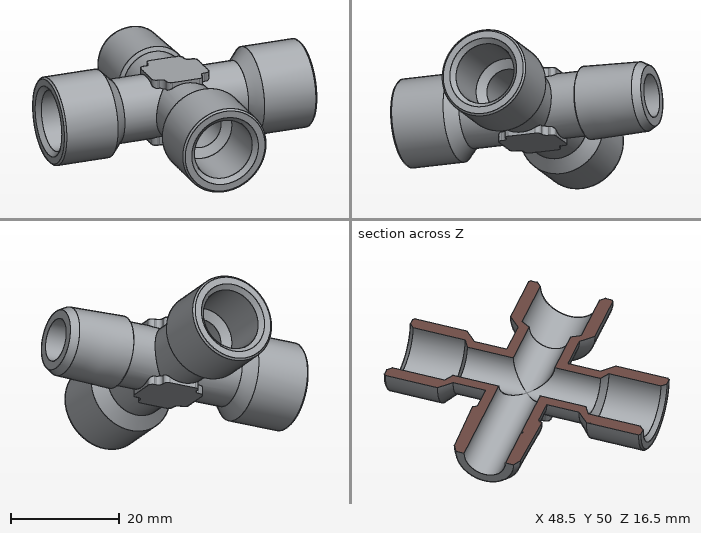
import cadquery as cq
import math


neck_diameter = 12.0
bore_diameter = 8.0

socket_reach = 25.0
socket_diameter = 16.5
socket_length = 10.5
socket_rim_chamfer = 0.35
thread_minor_diameter = 11.45
thread_depth = 11.0
thread_mouth_diameter = 13.2
drill_point_angle = 118.0

male_reach = 23.5
male_thread_length = 12.65
male_root_diameter = 13.6
male_taper = 1 / 16
male_tip_chamfer_length = 1.5
male_tip_diameter = 11.25
male_shoulder_length = 0.4

pad_height = 13.0
pad_span = 11.3
pad_arm_width = 7.1
pad_fillet = 0.9


def revolve_along_x(points):
    """Revolve a closed (axial, radius) outline about the X axis."""
    return cq.Workplane("XY").polyline(points).close().revolve(360, (0, 0, 0), (1, 0, 0))


def socket_body():
    """Solid female arm pointing along +X: neck, 45 degree flare and collar."""
    neck_radius = neck_diameter / 2
    collar_radius = socket_diameter / 2
    collar_start = socket_reach - socket_length
    flare_start = collar_start - (collar_radius - neck_radius)
    return revolve_along_x([
        (0, 0),
        (0, neck_radius),
        (flare_start, neck_radius),
        (collar_start, collar_radius),
        (socket_reach - socket_rim_chamfer, collar_radius),
        (socket_reach, collar_radius - socket_rim_chamfer),
        (socket_reach, 0),
    ])


def socket_bore():
    """Cutter for a female arm along +X: 45 degree mouth, thread bore, drill point and through bore."""
    bore_radius = bore_diameter / 2
    minor_radius = thread_minor_diameter / 2
    mouth_radius = thread_mouth_diameter / 2
    thread_end = socket_reach - thread_depth
    point_length = (minor_radius - bore_radius) / math.tan(math.radians(drill_point_angle / 2))
    return revolve_along_x([
        (0, 0),
        (0, bore_radius),
        (thread_end - point_length, bore_radius),
        (thread_end, minor_radius),
        (socket_reach - (mouth_radius - minor_radius), minor_radius),
        (socket_reach, mouth_radius),
        (socket_reach, 0),
    ])


def male_body():
    """Solid male arm pointing along -X: neck, shoulder, tapered thread and tip chamfer."""
    neck_radius = neck_diameter / 2
    root_radius = male_root_diameter / 2
    thread_root = male_reach - male_thread_length
    chamfer_start = male_reach - male_tip_chamfer_length
    chamfer_radius = root_radius - (chamfer_start - thread_root) * male_taper / 2
    shoulder_start = thread_root - male_shoulder_length
    return revolve_along_x([
        (0, 0),
        (0, neck_radius),
        (-shoulder_start, neck_radius),
        (-thread_root, root_radius),
        (-chamfer_start, chamfer_radius),
        (-male_reach, male_tip_diameter / 2),
        (-male_reach, 0),
    ])


def male_bore():
    """Cutter for the plain bore of the male arm."""
    return cq.Workplane("YZ").circle(bore_diameter / 2).extrude(-male_reach)


def crossing_pad():
    """Rounded plus-shaped block whose ends form the top and bottom flats."""
    half_span = pad_span / 2
    half_arm = pad_arm_width / 2
    along_x = cq.Workplane("XY").box(pad_span, pad_arm_width, pad_height)
    along_y = cq.Workplane("XY").box(pad_arm_width, pad_span, pad_height)
    plus = along_x.union(along_y)

    between = (half_arm + half_span) / 2
    inner_corners = cq.selectors.BoxSelector(
        (-between, -between, -pad_height), (between, between, pad_height)
    )
    plus = plus.edges("|Z").edges(inner_corners).fillet(pad_fillet)

    for tip in (">X", "<X", ">Y", "<Y"):
        plus = plus.faces(tip).edges("|Z").fillet(pad_fillet)
    return plus


socket_directions = (0, 90, -90)

body = crossing_pad().union(male_body())
for angle in socket_directions:
    body = body.union(socket_body().rotate((0, 0, 0), (0, 0, 1), angle))

result = body.cut(male_bore())
for angle in socket_directions:
    result = result.cut(socket_bore().rotate((0, 0, 0), (0, 0, 1), angle))